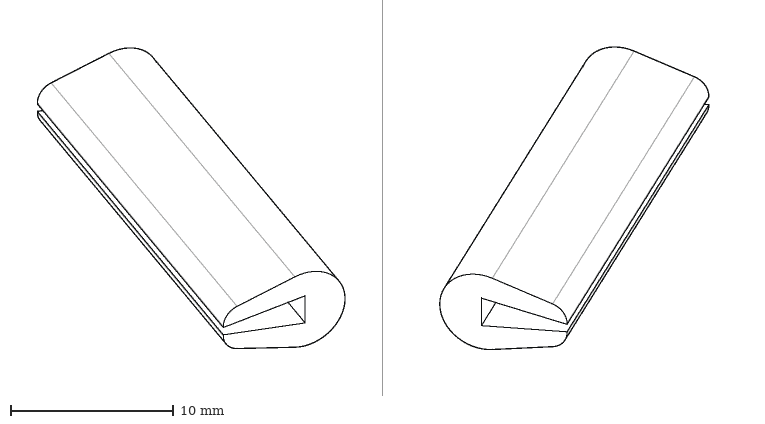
import cadquery as cq
import math

length = 26.92
depth = 8.31
height = 5.46

back_radius = height / 2
jaw_angle = math.radians(15)
lip_radius = 1.27
slot_root_width = 2.03
slot_mouth_width = 0.55

back_y = depth / 2
lip_y = -depth / 2
axis_y = back_y - back_radius


def radial_point(center_y, center_z, radius, angle):
    """Point on a circle, with the angle measured from +Z toward -Y."""
    return (center_y - radius * math.sin(angle), center_z + radius * math.cos(angle))


def mirrored(point):
    """Same point on the lower jaw."""
    return (point[0], -point[1])


lip_center_y = lip_y + lip_radius
jaw_run = axis_y - lip_center_y
lip_center_z = (back_radius - lip_radius) / math.cos(jaw_angle) - jaw_run * math.tan(jaw_angle)

jaw_start = radial_point(axis_y, 0, back_radius, jaw_angle)
jaw_end = radial_point(lip_center_y, lip_center_z, lip_radius, jaw_angle)
lip_mid_angle = (jaw_angle + math.pi / 2) / 2
lip_mid = radial_point(lip_center_y, lip_center_z, lip_radius, lip_mid_angle)
lip_end = (lip_y, lip_center_z)
slot_mouth = (lip_y, slot_mouth_width / 2)
slot_root = (axis_y, slot_root_width / 2)

profile = (
    cq.Workplane("YZ", origin=(-length / 2, 0, 0))
    .moveTo(*slot_root)
    .lineTo(*slot_mouth)
    .lineTo(*lip_end)
    .threePointArc(lip_mid, jaw_end)
    .lineTo(*jaw_start)
    .threePointArc((back_y, 0), mirrored(jaw_start))
    .lineTo(*mirrored(jaw_end))
    .threePointArc(mirrored(lip_mid), mirrored(lip_end))
    .lineTo(*mirrored(slot_mouth))
    .lineTo(*mirrored(slot_root))
    .close()
)

result = profile.extrude(length)